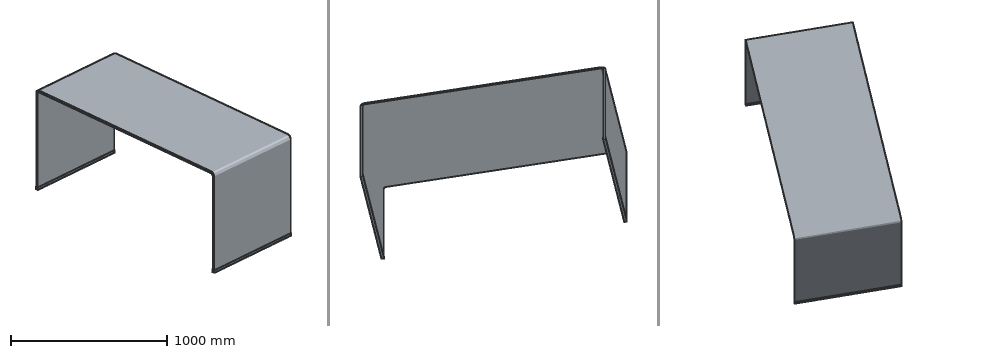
import cadquery as cq

length = 1602.0
depth = 700.0
height = 730.0

sheet_thickness = 15.0
outer_bend_radius = 30.0
trim_thickness = 1.0
trim_height = 20.0

sheet_length = length - 2 * trim_thickness


def centered_block(size_x, bottom, top):
    """Full-depth block centered on X and Y, between two heights."""
    return (
        cq.Workplane("XY")
        .workplane(offset=bottom)
        .rect(size_x, depth)
        .extrude(top - bottom)
    )


def rounded_block(size_x, top, radius):
    """Full-depth block with its two long top edges along Y rounded."""
    return centered_block(size_x, 0, top).edges("|Y and >Z").fillet(radius)


def bent_sheet():
    """Table top and two legs bent from one sheet of constant thickness."""
    outside = rounded_block(sheet_length, height, outer_bend_radius)
    inside = rounded_block(
        sheet_length - 2 * sheet_thickness,
        height - sheet_thickness,
        outer_bend_radius - sheet_thickness,
    )
    return outside.cut(inside)


def foot_trim():
    """Trim standing slightly proud of both faces of each leg."""
    trim_width = sheet_thickness + 2 * trim_thickness
    outside = centered_block(length, 0, trim_height)
    opening = centered_block(length - 2 * trim_width, 0, trim_height)
    return outside.cut(opening)


result = bent_sheet().union(foot_trim())